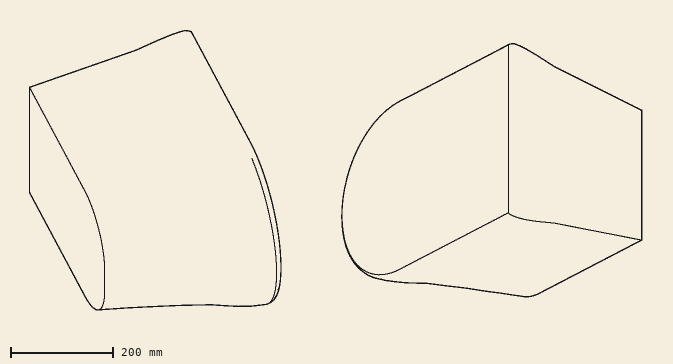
import cadquery as cq
import math

LENGTH = 524.0
DEPTH = 335.0
WALL_FLARE = 3.0
MAX_REACH = LENGTH - WALL_FLARE
MAX_HALF_HEIGHT = 185.5

FRONT_FLAT_END = 315.0
REAR_FLAT_END = MAX_REACH - MAX_HALF_HEIGHT

NOSE_HALF_HEIGHT = 34.0
FRONT_CROWN = 0.15
REAR_CROWN = 3.0

FLARE_START_Y = 220.0
FLARE_START_Z = 57.5
FLARE_TOP_Z = 209.5
REAR_CORNER_INSET = 5.0
WALL_ALLOWANCE = 10.5

FRONT_SECTIONS = [
    (0.0, 428.5, 139.5),
    (110.0, 452.0, 154.0),
    (FLARE_START_Y, 489.0, 168.0),
]
BELLY_SECTIONS = [
    FRONT_SECTIONS[-1],
    (245.0, 500.5, 174.0),
    (271.0, 510.5, 179.5),
    (296.0, 517.0, 184.0),
    (321.5, MAX_REACH, MAX_HALF_HEIGHT),
]
RIM_SECTIONS = [
    BELLY_SECTIONS[-1],
    (328.0, 518.0, 184.0),
    (332.0, 514.5, 182.5),
    (DEPTH, 510.5, 180.0),
]


def blend(start, end, fraction):
    return start + (end - start) * fraction


def section_wire(y, reach, half_height):
    """Closed D-shaped outline at depth y, symmetric about Z = 0."""
    depth_fraction = y / DEPTH
    flat_end = blend(FRONT_FLAT_END, REAR_FLAT_END, depth_fraction)
    nose_edge = reach - blend(FRONT_CROWN, REAR_CROWN, depth_fraction)

    run = nose_edge - flat_end
    rise = half_height - NOSE_HALF_HEIGHT
    radius = (run**2 + rise**2) / (2 * rise)
    half_angle = math.atan2(rise, run)
    middle_x = flat_end + radius * math.sin(half_angle)
    middle_z = half_height - radius * (1 - math.cos(half_angle))

    return (
        cq.Workplane("XZ", origin=(0, y, 0))
        .moveTo(-WALL_ALLOWANCE, half_height)
        .lineTo(flat_end, half_height)
        .threePointArc((middle_x, middle_z), (nose_edge, NOSE_HALF_HEIGHT))
        .threePointArc((reach, 0), (nose_edge, -NOSE_HALF_HEIGHT))
        .threePointArc((middle_x, -middle_z), (flat_end, -half_height))
        .lineTo(-WALL_ALLOWANCE, -half_height)
        .close()
        .val()
    )


def loft_sections(sections):
    wires = [section_wire(*section) for section in sections]
    return cq.Workplane("XY").newObject([cq.Solid.makeLoft(wires)])


def corner_flare():
    """Low pyramid on the wall plane whose tip lies on the widest section near the upper rear corner."""
    rear_half_height = RIM_SECTIONS[-1][2]
    base = [
        cq.Vector(0, FLARE_START_Y, FLARE_START_Z),
        cq.Vector(0, DEPTH, rear_half_height - REAR_CORNER_INSET),
        cq.Vector(0, DEPTH, FLARE_TOP_Z),
        cq.Vector(0, FLARE_START_Y, FLARE_TOP_Z),
    ]
    tip = cq.Vector(-WALL_FLARE, BELLY_SECTIONS[-1][0], MAX_HALF_HEIGHT)
    sides = [[base[i - 1], base[i], tip] for i in range(len(base))]
    faces = [cq.Face.makeFromWires(cq.Wire.makePolygon(points, close=True)) for points in [base, *sides]]
    return cq.Workplane("XY").newObject([cq.Solid.makeSolid(cq.Shell.makeShell(faces))])


oversized_body = loft_sections(FRONT_SECTIONS)
for sections in (BELLY_SECTIONS, RIM_SECTIONS):
    oversized_body = oversized_body.union(loft_sections(sections))

wall_limit = cq.Workplane("XY").box(2 * LENGTH, 2 * LENGTH, 2 * LENGTH).translate((LENGTH, 0, 0))
upper_flare = corner_flare()
wall_limit = wall_limit.union(upper_flare).union(upper_flare.mirror("XY"))

result = oversized_body.intersect(wall_limit)